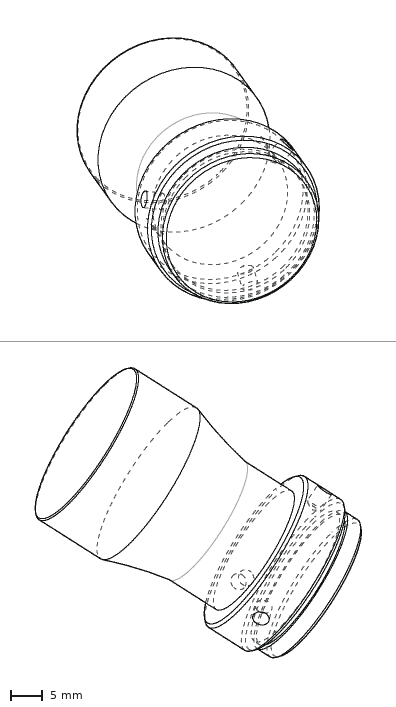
import cadquery as cq
import math

LENGTH = 44.1
HEAD_LENGTH = 12.0
TAPER_LENGTH = 11.2
NECK_LENGTH = 8.95
COLLAR_LENGTH = 7.95
GROOVE_WIDTH = 1.0

HEAD_START = -LENGTH / 2
HEAD_END = HEAD_START + HEAD_LENGTH
TAPER_END = HEAD_END + TAPER_LENGTH
COLLAR_START = TAPER_END + NECK_LENGTH
COLLAR_END = COLLAR_START + COLLAR_LENGTH
FLANGE_START = COLLAR_END + GROOVE_WIDTH
FLANGE_END = LENGTH / 2

HEAD_RADIUS = 28.0 / 2
NECK_RADIUS = 22.0 / 2
COLLAR_RADIUS = HEAD_RADIUS
GROOVE_RADIUS = 24.0 / 2
FLANGE_RADIUS = 25.5 / 2

HEAD_CHAMFER = 0.2
COLLAR_CHAMFER = 0.5
FLANGE_CHAMFER = 0.5
TAPER_SAG = 0.25

HOLE_COUNT = 3
FIRST_HOLE_ANGLE = 45.5
HOLE_DIAMETER = 2.6
HOLE_DEPTH = 3.0
DRILL_POINT_ANGLE = 118.0


def turned_body():
    """Revolve the half profile about the X axis."""
    taper_middle = (
        (HEAD_END + TAPER_END) / 2,
        (HEAD_RADIUS + NECK_RADIUS) / 2 - TAPER_SAG,
    )
    return (
        cq.Workplane("XY")
        .moveTo(HEAD_START, 0)
        .lineTo(HEAD_START, HEAD_RADIUS - HEAD_CHAMFER)
        .lineTo(HEAD_START + HEAD_CHAMFER, HEAD_RADIUS)
        .lineTo(HEAD_END, HEAD_RADIUS)
        .threePointArc(taper_middle, (TAPER_END, NECK_RADIUS))
        .lineTo(COLLAR_START, NECK_RADIUS)
        .lineTo(COLLAR_START, COLLAR_RADIUS - COLLAR_CHAMFER)
        .lineTo(COLLAR_START + COLLAR_CHAMFER, COLLAR_RADIUS)
        .lineTo(COLLAR_END - COLLAR_CHAMFER, COLLAR_RADIUS)
        .lineTo(COLLAR_END, COLLAR_RADIUS - COLLAR_CHAMFER)
        .lineTo(COLLAR_END, GROOVE_RADIUS)
        .lineTo(FLANGE_START, GROOVE_RADIUS)
        .lineTo(FLANGE_START, FLANGE_RADIUS)
        .lineTo(FLANGE_END - FLANGE_CHAMFER, FLANGE_RADIUS)
        .lineTo(FLANGE_END, FLANGE_RADIUS - FLANGE_CHAMFER)
        .lineTo(FLANGE_END, 0)
        .close()
        .revolve(360, (0, 0, 0), (1, 0, 0))
    )


def radial_drill(angle):
    """Drill with a conical point, aimed at the axis from the given angle."""
    hole_radius = HOLE_DIAMETER / 2
    point_length = hole_radius / math.tan(math.radians(DRILL_POINT_ANGLE / 2))
    hole_x = (COLLAR_START + COLLAR_END) / 2
    floor = COLLAR_RADIUS - HOLE_DEPTH
    drill = (
        cq.Workplane("XY")
        .moveTo(hole_x, floor - point_length)
        .lineTo(hole_x + hole_radius, floor)
        .lineTo(hole_x + hole_radius, COLLAR_RADIUS)
        .lineTo(hole_x, COLLAR_RADIUS)
        .close()
        .revolve(360, (hole_x, 0, 0), (hole_x, 1, 0))
    )
    return drill.rotate((0, 0, 0), (1, 0, 0), angle)


result = turned_body()
for index in range(HOLE_COUNT):
    result = result.cut(radial_drill(FIRST_HOLE_ANGLE + index * 360 / HOLE_COUNT))